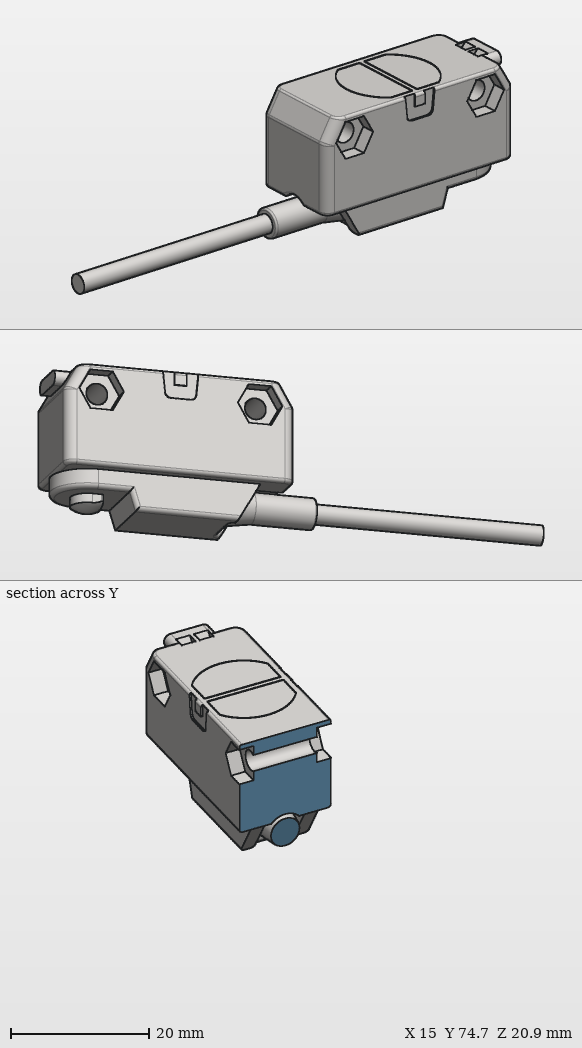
import cadquery as cq
import math


block_width = 15.0
block_length = 34.7
block_height = 15.2
end_bevel_run = 2.1
end_bevel_drop = 3.65
corner_radius = 1.6
top_round = 0.45
bottom_round = 0.6
bevel_round = 0.8
half_width = block_width / 2
half_length = block_length / 2

mount_spacing = 24.0
mount_z = 11.4
mount_hole_diameter = 3.2
nut_across_flats = 5.85
nut_depth = 2.3

recess_top_width = 5.4
recess_bottom_width = 4.6
recess_height = 4.05
recess_corner_radius = 0.9
recess_depth = 0.3
tab_width = 1.8
tab_height = 2.0

lens_radius = 7.6
lens_width = 12.4
lens_gap = 0.87
lens_depth = 0.1

bar_width = 7.4
bar_height = 2.2
bar_overhang = 0.5
bar_inner_y = 14.4
bar_notch_size = 1.8
bar_notch_outer_x = 2.6
bar_notch_inner_x = 0.34

base_width = 11.0
base_depth = 5.7
plate_depth = 2.8
base_round = 0.7
step_upper_y = 6.95
step_lower_y = 6.05
slope_upper_y = -12.65
slope_angle = 30.0
base_end_center_y = half_length - base_width / 2
slope_lower_y = slope_upper_y + base_depth * math.tan(math.radians(slope_angle))

stub_radius = 2.5
stub_flat_offset = 1.8
stub_corner_radius = 0.45
stub_bottom_z = -5.05
stub_dome_radius = 4.0

cable_axis_z = -2.05
cable_radius = 1.5
cable_end_y = -56.86
sleeve_radius = 2.35
sleeve_end_y = -half_length - 5.0
sleeve_end_round = 0.3
flare_radius = 3.0
flare_start_y = -13.0

cavity_radius = 3.05
cavity_edge_round = 0.45
cavity_floor_y = slope_lower_y + 0.5
slot_width = 6.5
slot_corner_radius = 0.45


def yz_extrusion(outline, width):
    """Closed outline of (y, z) points, extruded to the given width about X = 0."""
    return cq.Workplane("YZ").polyline(outline).close().extrude(width / 2, both=True)


def make_block():
    bevel_z = block_height - end_bevel_drop
    bevel_y = half_length - end_bevel_run
    block = yz_extrusion(
        [
            (-half_length, 0),
            (half_length, 0),
            (half_length, bevel_z),
            (bevel_y, block_height),
            (-bevel_y, block_height),
            (-half_length, bevel_z),
        ],
        block_width,
    )
    lower_bevel_edges = cq.selectors.BoxSelector(
        (-half_width, -half_length - 1, bevel_z - 1), (half_width, half_length + 1, bevel_z + 1)
    )
    block = block.edges("|X").edges(lower_bevel_edges).fillet(bevel_round)
    block = block.faces("<X or >X").edges("not(|Y)").fillet(corner_radius)
    block = block.faces(">Z").edges().fillet(top_round)
    return block.faces("<Z").edges().fillet(bottom_round)


def make_base():
    profile = yz_extrusion(
        [
            (half_length, 0),
            (half_length, -plate_depth),
            (step_upper_y, -plate_depth),
            (step_lower_y, -base_depth),
            (slope_lower_y, -base_depth),
            (slope_upper_y, 0),
        ],
        base_width,
    )
    plan = (
        cq.Workplane("XY")
        .moveTo(-base_width / 2, slope_upper_y)
        .lineTo(base_width / 2, slope_upper_y)
        .lineTo(base_width / 2, base_end_center_y)
        .threePointArc((0, half_length), (-base_width / 2, base_end_center_y))
        .close()
        .extrude(-base_depth)
    )
    base = profile.intersect(plan)
    lower_edges = cq.selectors.BoxSelector(
        (-half_width, slope_lower_y, -base_depth - 1), (half_width, half_length + 1, -1)
    )
    base = base.edges(lower_edges).edges("not(|X or |Z)").fillet(base_round)
    base = base.cut(make_slot())
    slot_floor_edge = cq.selectors.NearestToPointSelector((0, cavity_floor_y, -base_depth))
    return base.edges(slot_floor_edge).fillet(base_round)


def make_slot():
    """Slot through the sloped end of the base, open toward -Y."""
    length = cavity_floor_y + half_length
    slot = cq.Workplane("XY").box(slot_width, length, base_depth, centered=(True, False, False))
    slot = slot.edges("|Z and >Y").fillet(slot_corner_radius)
    return slot.translate((0, -half_length, -base_depth))


def make_stub():
    flat_y = base_end_center_y - stub_flat_offset
    stub = (
        cq.Workplane("XY")
        .moveTo(-stub_radius, flat_y)
        .lineTo(stub_radius, flat_y)
        .lineTo(stub_radius, base_end_center_y)
        .threePointArc((0, base_end_center_y + stub_radius), (-stub_radius, base_end_center_y))
        .close()
        .extrude(stub_bottom_z)
        .edges("|Z and <Y")
        .fillet(stub_corner_radius)
    )
    dome = cq.Workplane("XY").sphere(stub_dome_radius)
    return stub.intersect(dome.translate((0, base_end_center_y, stub_bottom_z + stub_dome_radius)))


def make_indicator_bar():
    end_y = half_length + bar_overhang
    return (
        cq.Workplane("XZ", origin=(0, end_y, block_height - bar_height / 2))
        .slot2D(bar_width, bar_height)
        .extrude(end_y - bar_inner_y)
    )


def make_bar_notches():
    """Two 45-degree wedge notches, deepest at their -Y end."""
    width = bar_notch_outer_x - bar_notch_inner_x
    wedge = yz_extrusion(
        [
            (bar_inner_y, block_height),
            (bar_inner_y + bar_notch_size, block_height),
            (bar_inner_y, block_height - bar_notch_size),
        ],
        width,
    )
    middle_x = bar_notch_inner_x + width / 2
    return wedge.translate((-middle_x, 0, 0)).union(wedge.translate((middle_x, 0, 0)))


def make_mount_cuts():
    centers = [(-mount_spacing / 2, mount_z), (mount_spacing / 2, mount_z)]
    nut_diameter = nut_across_flats / math.cos(math.pi / 6)
    cuts = (
        cq.Workplane("YZ").pushPoints(centers).circle(mount_hole_diameter / 2).extrude(half_width, both=True)
    )
    for side in (-1, 1):
        nuts = (
            cq.Workplane("YZ", origin=(side * half_width, 0, 0))
            .pushPoints(centers)
            .polygon(6, nut_diameter)
            .extrude(-side * nut_depth)
        )
        cuts = cuts.union(nuts)
    return cuts


def make_side_recess(side):
    recess = (
        cq.Workplane("YZ", origin=(side * half_width, 0, block_height))
        .polyline(
            [
                (-recess_top_width / 2, 0),
                (-recess_bottom_width / 2, -recess_height),
                (recess_bottom_width / 2, -recess_height),
                (recess_top_width / 2, 0),
            ]
        )
        .close()
        .extrude(-side * recess_depth)
        .edges("|X and <Z")
        .fillet(recess_corner_radius)
    )
    tab = cq.Workplane("XY").box(block_width, tab_width, 2 * tab_height)
    return recess.cut(tab.translate((0, 0, block_height)))


def make_lens_windows():
    disc = cq.Workplane("XY", origin=(0, 0, block_height)).circle(lens_radius).extrude(-lens_depth)
    band = cq.Workplane("XY").box(lens_width, 2 * lens_radius, 2 * block_height + 1)
    divider = cq.Workplane("XY").box(block_width, lens_gap, 2 * block_height + 1)
    return disc.intersect(band).cut(divider)


def make_cable_cavity():
    length = cavity_floor_y + half_length
    return cq.Workplane("XZ", origin=(0, cavity_floor_y, cable_axis_z)).circle(cavity_radius).extrude(length)


def make_cavity_mouth():
    """Flared mouth of the cavity in the block's -Y face."""
    mouth_radius = cavity_radius + cavity_edge_round
    return (
        cq.Workplane("YZ")
        .moveTo(-half_length, cable_axis_z)
        .lineTo(-half_length, cable_axis_z + mouth_radius)
        .radiusArc((-half_length + cavity_edge_round, cable_axis_z + cavity_radius), -cavity_edge_round)
        .lineTo(-half_length + cavity_edge_round, cable_axis_z)
        .close()
        .revolve(360, (0, cable_axis_z, 0), (1, cable_axis_z, 0))
    )


def make_housing():
    housing = make_block().union(make_base()).union(make_stub()).union(make_indicator_bar())
    housing = housing.cut(make_bar_notches()).cut(make_mount_cuts()).cut(make_lens_windows())
    for side in (-1, 1):
        housing = housing.cut(make_side_recess(side))
    return housing.cut(make_cable_cavity()).cut(make_cavity_mouth())


def make_cable():
    """Cable, sleeve and flared root, turned about the cable axis."""
    round_start_y = sleeve_end_y + sleeve_end_round
    rim_radius = sleeve_radius - sleeve_end_round
    return (
        cq.Workplane("XY", origin=(0, 0, cable_axis_z))
        .moveTo(0, cavity_floor_y)
        .lineTo(flare_radius, cavity_floor_y)
        .lineTo(sleeve_radius, flare_start_y)
        .lineTo(sleeve_radius, round_start_y)
        .radiusArc((rim_radius, sleeve_end_y), sleeve_end_round)
        .lineTo(cable_radius, sleeve_end_y)
        .lineTo(cable_radius, cable_end_y)
        .lineTo(0, cable_end_y)
        .close()
        .revolve(360, (0, 0, 0), (0, 1, 0))
    )


housing = make_housing()
cable = make_cable()
result = cq.Compound.makeCompound([housing.val(), cable.val()])